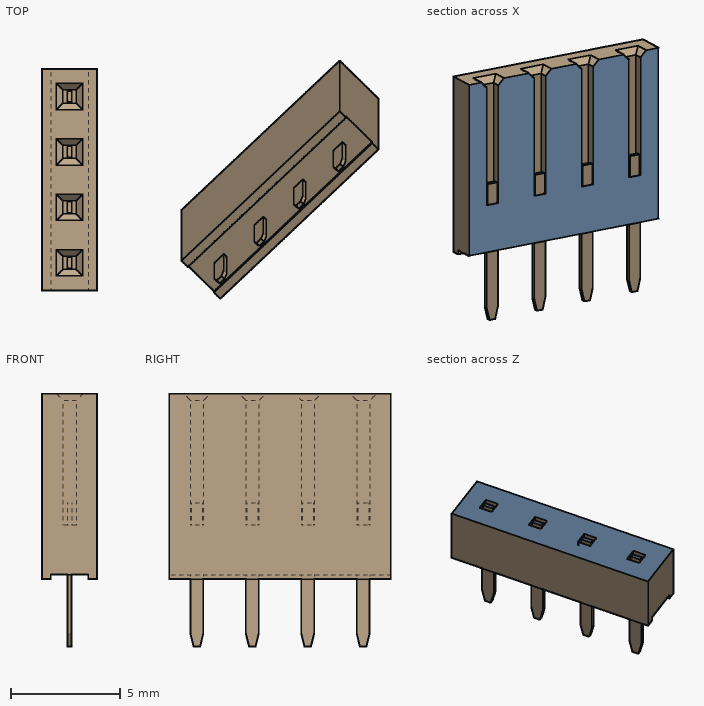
import cadquery as cq

pitch = 2.54
pin_count = 4
body_width = pitch
body_length = pin_count * pitch
body_height = 8.5

groove_width = 1.7
groove_depth = 0.2

funnel_mouth = 1.2
socket_size = 0.6
funnel_depth = (funnel_mouth - socket_size) / 2
socket_depth = 6.0

pin_thickness = 0.2
pin_width = 0.6
pin_tip_width = 0.3
blade_width = 0.5
pin_taper = 0.6
pin_drop = 3.1
pin_rise = 1.0

pin_positions = [(i - (pin_count - 1) / 2) * pitch for i in range(pin_count)]


def make_housing():
    """Block standing on two long feet, with its underside at z = 0."""
    block = cq.Workplane("XY").box(body_width, body_length, body_height, centered=(True, True, False))
    groove = cq.Workplane("XY").box(groove_width, body_length, groove_depth, centered=(True, True, False))
    return block.cut(groove)


def make_socket(y):
    """Blind square hole with a funnel-shaped mouth."""
    mouth = cq.Workplane("XY").workplane(offset=body_height).center(0, y)
    hole = mouth.rect(socket_size, socket_size).extrude(-socket_depth)
    funnel = (
        cq.Workplane("XY")
        .workplane(offset=body_height)
        .center(0, y)
        .rect(funnel_mouth, funnel_mouth)
        .workplane(offset=-funnel_depth)
        .rect(socket_size, socket_size)
        .loft(ruled=True)
    )
    return hole.union(funnel)


def make_pin(y):
    """Flat pin with a narrow blade above the socket floor and a tapered tip below."""
    floor = body_height - socket_depth
    top = floor + pin_rise
    tip = -pin_drop
    shoulder = tip + pin_taper
    half_width = pin_width / 2
    half_blade = blade_width / 2
    half_tip = pin_tip_width / 2
    outline = [
        (y - half_blade, top),
        (y - half_blade, floor),
        (y - half_width, floor),
        (y - half_width, shoulder),
        (y - half_tip, tip),
        (y + half_tip, tip),
        (y + half_width, shoulder),
        (y + half_width, floor),
        (y + half_blade, floor),
        (y + half_blade, top),
    ]
    return cq.Workplane("YZ").polyline(outline).close().extrude(pin_thickness / 2, both=True)


result = make_housing()
for position in pin_positions:
    result = result.cut(make_socket(position)).union(make_pin(position))